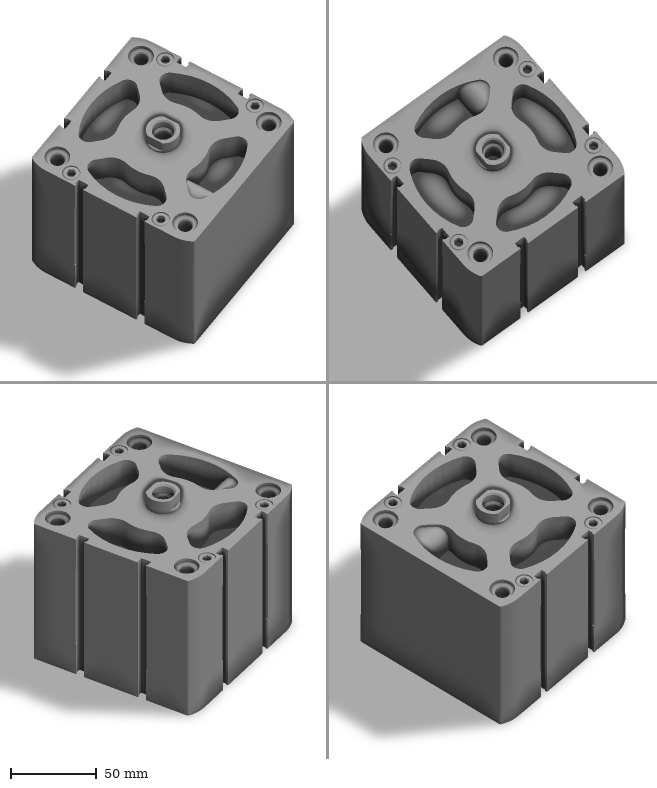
import cadquery as cq
import math

WIDTH = 113.5
HALF = WIDTH / 2
HOUSING_HEIGHT = 97.0
CAP_HEIGHT = 21.6
TUBE_TOP = HOUSING_HEIGHT - CAP_HEIGHT

CORNER_RADIUS = 22.7
CORNER_ARC_RUN = 12.3
CAP_BLEND_RADIUS = 1.5
TUBE_BLEND_RADIUS = 2.3

SLOT_OFFSET = 21.3
SLOT_MOUTH = 5.6
SLOT_WIDTH = 6.9
SLOT_DEPTH = 4.8
SLOT_LIP = 1.4
TUBE_MOUTH_RELIEF = 0.5
SLOT_SIDE_ANGLES = (0, 90, 180)

MOUNT_OFFSET = 44.5
MOUNT_THREAD_DIAMETER = 10.0
MOUNT_CORE_DIAMETER = 8.5
MOUNT_BORE_DIAMETER = 15.0
MOUNT_BORE_DEPTH = 2.5

SCREW_X = 31.2
SCREW_Y = 50.0
SCREW_RECESS_DIAMETER = 10.7
SCREW_FACE_DIAMETER = 9.0
SOCKET_MOUTH_DIAMETER = 5.9
SOCKET_ACROSS_FLATS = 5.0
SOCKET_DEPTH = 5.7

POCKET_OUTER_RADIUS = 49.5
POCKET_INNER_RADIUS = 27.7
POCKET_WEB = 13.3
POCKET_DEPTH = 19.0
POCKET_INNER_ROUND = 12.0
POCKET_OUTER_ROUND = 6.0

BOSS_CREST_Y = -20.1
BOSS_RADIUS = 8.1
BOSS_CREST_DEPTH = 2.0

ROD_DIAMETER = 20.0
ROD_PROTRUSION = 9.0
ROD_TOP = HOUSING_HEIGHT + ROD_PROTRUSION
ROD_BOTTOM = TUBE_TOP
FLAT_WIDTH = 17.0
FLAT_LENGTH = 7.2
FLAT_RUNOUT_ANGLE = 30.0
ROD_MOUTH_DIAMETER = 15.0
ROD_BORE_DIAMETER = 13.0
ROD_BORE_DEPTH = 6.0
ROD_THREAD_DIAMETER = 12.0
ROD_CORE_DIAMETER = 10.0
ROD_HOLE_DEPTH = 20.0

DRILL_TIP_HALF_ANGLE = 60.0


def cylinder(diameter, bottom, top):
    return cq.Workplane("XY").workplane(offset=bottom).circle(diameter / 2).extrude(top - bottom)


def chamfer_cone(wide, narrow, top):
    """45-degree cone that narrows downwards from its wide top."""
    wide_radius = wide / 2
    narrow_radius = narrow / 2
    bottom = top - (wide_radius - narrow_radius)
    profile = [(0, bottom), (narrow_radius, bottom), (wide_radius, top), (0, top)]
    return cq.Workplane("XZ").polyline(profile).close().revolve(360, (0, 0), (0, 1))


def drilled_hole(diameter, top, depth):
    """Blind hole with a conical drill tip below its full-diameter depth."""
    radius = diameter / 2
    bottom = top - depth
    tip = bottom - radius / math.tan(math.radians(DRILL_TIP_HALF_ANGLE))
    profile = [(0, tip), (radius, bottom), (radius, top), (0, top)]
    return cq.Workplane("XZ").polyline(profile).close().revolve(360, (0, 0), (0, 1))


def section(bottom, top, blend_radius):
    """Prism with the housing outline between two heights."""
    flat_x = HALF - CORNER_ARC_RUN

    def arc_point(run):
        drop = CORNER_RADIUS - math.sqrt(CORNER_RADIUS**2 - run**2)
        return flat_x + run, HALF - drop

    middle_x, middle_y = arc_point(CORNER_ARC_RUN / 2)
    end_x, end_y = arc_point(CORNER_ARC_RUN)
    prism = (
        cq.Workplane("XY")
        .workplane(offset=bottom)
        .moveTo(-flat_x, HALF)
        .lineTo(flat_x, HALF)
        .threePointArc((middle_x, middle_y), (end_x, end_y))
        .lineTo(end_x, -end_y)
        .threePointArc((middle_x, -middle_y), (flat_x, -HALF))
        .lineTo(-flat_x, -HALF)
        .threePointArc((-middle_x, -middle_y), (-end_x, -end_y))
        .lineTo(-end_x, end_y)
        .threePointArc((-middle_x, middle_y), (-flat_x, HALF))
        .close()
        .extrude(top - bottom)
    )
    side_edges = prism.edges("|Z and (<X or >X)")
    return side_edges.fillet(blend_radius)


def slot(bottom, top, mouth_relief):
    """T-slot in the +Y side, its mouth widened away from the middle by the relief."""
    height = top - bottom
    mouth = (
        cq.Workplane("XY")
        .box(SLOT_MOUTH + mouth_relief, SLOT_DEPTH, height, centered=(True, False, False))
        .translate((SLOT_OFFSET + mouth_relief / 2, HALF - SLOT_DEPTH, bottom))
    )
    channel = (
        cq.Workplane("XY")
        .box(SLOT_WIDTH, SLOT_DEPTH - SLOT_LIP, height, centered=(True, False, False))
        .translate((SLOT_OFFSET, HALF - SLOT_DEPTH, bottom))
    )
    return mouth.union(channel)


def slotted_section(bottom, top, blend_radius, mouth_relief):
    body = section(bottom, top, blend_radius)
    right_slot = slot(bottom, top, mouth_relief)
    left_slot = right_slot.mirror("YZ")
    for angle in SLOT_SIDE_ANGLES:
        for side_slot in (left_slot, right_slot):
            body = body.cut(side_slot.rotate((0, 0, 0), (0, 0, 1), angle))
    return body


def mounting_hole():
    shelf = HOUSING_HEIGHT - MOUNT_BORE_DEPTH
    return (
        cylinder(MOUNT_CORE_DIAMETER, 0, shelf)
        .union(chamfer_cone(MOUNT_THREAD_DIAMETER, MOUNT_CORE_DIAMETER, shelf))
        .union(cylinder(MOUNT_BORE_DIAMETER, shelf, HOUSING_HEIGHT))
    )


def screw_cuts():
    """Hexagon socket with a countersunk mouth, and the V-groove around the chamfered screw head."""
    groove_bottom = HOUSING_HEIGHT - (SCREW_RECESS_DIAMETER - SCREW_FACE_DIAMETER) / 2
    groove_profile = [
        (SCREW_FACE_DIAMETER / 2, HOUSING_HEIGHT),
        (SCREW_RECESS_DIAMETER / 2, groove_bottom),
        (SCREW_RECESS_DIAMETER / 2, HOUSING_HEIGHT),
    ]
    groove = cq.Workplane("XZ").polyline(groove_profile).close().revolve(360, (0, 0), (0, 1))
    hexagon = (
        cq.Workplane("XY")
        .workplane(offset=HOUSING_HEIGHT - SOCKET_DEPTH)
        .polygon(6, SOCKET_ACROSS_FLATS, circumscribed=True)
        .extrude(SOCKET_DEPTH)
    )
    socket = hexagon.union(drilled_hole(SOCKET_ACROSS_FLATS, HOUSING_HEIGHT, SOCKET_DEPTH)).union(
        chamfer_cone(SOCKET_MOUTH_DIAMETER, SOCKET_ACROSS_FLATS, HOUSING_HEIGHT)
    )
    return [groove, socket]


def pocket():
    """Ring sector on the +X side, cut parallel to the diagonals and rounded at its corners."""
    floor = HOUSING_HEIGHT - POCKET_DEPTH
    ring = cylinder(2 * POCKET_OUTER_RADIUS, floor, HOUSING_HEIGHT).cut(
        cylinder(2 * POCKET_INNER_RADIUS, floor, HOUSING_HEIGHT)
    )
    wedge_tip = POCKET_WEB / math.sqrt(2)
    wedge_points = [(wedge_tip, 0), (wedge_tip + HALF, HALF), (wedge_tip + HALF, -HALF)]
    wedge = cq.Workplane("XY").workplane(offset=floor).polyline(wedge_points).close().extrude(POCKET_DEPTH)
    sector = ring.intersect(wedge)
    middle_radius = (POCKET_INNER_RADIUS + POCKET_OUTER_RADIUS) / 2
    reach = middle_radius * math.cos(math.radians(45))
    inner_box = cq.selectors.BoxSelector((0, -HALF, 0), (reach, HALF, WIDTH))
    outer_box = cq.selectors.BoxSelector((reach, -HALF, 0), (HALF, HALF, WIDTH))
    sector = sector.edges("|Z").edges(inner_box).fillet(POCKET_INNER_ROUND)
    return sector.edges("|Z").edges(outer_box).fillet(POCKET_OUTER_ROUND)


def port_boss():
    """Block along X, rounded along its upper +Y edge."""
    boss_height = POCKET_DEPTH - BOSS_CREST_DEPTH
    boss_side_y = BOSS_CREST_Y + BOSS_RADIUS
    return (
        cq.Workplane("XY")
        .box(HALF, HALF + boss_side_y, boss_height, centered=(False, False, False))
        .translate((0, -HALF, HOUSING_HEIGHT - POCKET_DEPTH))
        .edges(">Y and >Z")
        .fillet(BOSS_RADIUS)
    )


def make_housing():
    bottom_cap = slotted_section(0, CAP_HEIGHT, CAP_BLEND_RADIUS, 0)
    tube = slotted_section(CAP_HEIGHT, TUBE_TOP, TUBE_BLEND_RADIUS, TUBE_MOUTH_RELIEF)
    top_cap = slotted_section(TUBE_TOP, HOUSING_HEIGHT, CAP_BLEND_RADIUS, 0)
    body = bottom_cap.union(tube, clean=False).union(top_cap, clean=False)

    cuts = [pocket().cut(port_boss())]
    for angle in (90, 180, 270):
        cuts.append(pocket().rotate((0, 0, 0), (0, 0, 1), angle))
    for x_sign in (-1, 1):
        for y_sign in (-1, 1):
            cuts.append(mounting_hole().translate((x_sign * MOUNT_OFFSET, y_sign * MOUNT_OFFSET, 0)))
            for cut in screw_cuts():
                cuts.append(cut.translate((x_sign * SCREW_X, y_sign * SCREW_Y, 0)))
    cuts.append(cylinder(ROD_DIAMETER, ROD_BOTTOM, HOUSING_HEIGHT))
    for cut in cuts:
        body = body.cut(cut, clean=False)
    return body


def rod_flat():
    """Wrench flat on the +Y side with a sloping run-out at its lower end."""
    flat_y = FLAT_WIDTH / 2
    edge_y = ROD_DIAMETER / 2
    flat_bottom = ROD_TOP - FLAT_LENGTH
    runout = (edge_y - flat_y) * math.tan(math.radians(FLAT_RUNOUT_ANGLE))
    profile = [(flat_y, ROD_TOP), (flat_y, flat_bottom), (edge_y, flat_bottom - runout), (edge_y, ROD_TOP)]
    return cq.Workplane("YZ").polyline(profile).close().extrude(ROD_DIAMETER, both=True)


def make_rod():
    shelf = ROD_TOP - ROD_BORE_DEPTH
    flat = rod_flat()
    return (
        cylinder(ROD_DIAMETER, ROD_BOTTOM, ROD_TOP)
        .cut(flat)
        .cut(flat.mirror("XZ"))
        .cut(cylinder(ROD_BORE_DIAMETER, shelf, ROD_TOP))
        .cut(chamfer_cone(ROD_MOUTH_DIAMETER, ROD_BORE_DIAMETER, ROD_TOP))
        .cut(drilled_hole(ROD_CORE_DIAMETER, ROD_TOP, ROD_HOLE_DEPTH))
        .cut(chamfer_cone(ROD_THREAD_DIAMETER, ROD_CORE_DIAMETER, shelf))
    )


housing = make_housing()
rod = make_rod()
result = cq.Compound.makeCompound([housing.val(), rod.val()])